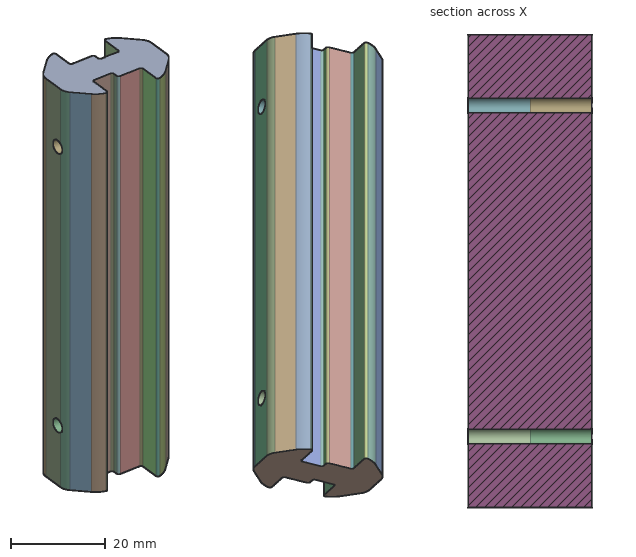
import cadquery as cq
import math

length = 100.0
depth = 26.3
half_depth = depth / 2

head_shift = 1.0
head_inner_y = 5.7
crown_half_width = 3.85
flank_run = 4.13
flank_end_half_width = crown_half_width + flank_run
flank_end_y = half_depth - flank_run
tip_radius = 6.0
flank_angle = math.radians(45)
tip_center_x = flank_end_half_width - tip_radius * math.cos(flank_angle)
tip_center_y = flank_end_y - tip_radius * math.sin(flank_angle)

web_half_width = 3.95
step_y = 0.45

crown_fillet = 3.0
small_fillet = 0.5

hole_diameter = 3.24
hole_x = 0.6
hole_end_distance = 15.0

tolerance = 0.01


def tip_point(angle):
    """Point of the tip round, measured from the head's own centre line, outward along Y."""
    return tip_center_x + tip_radius * math.cos(angle), tip_center_y + tip_radius * math.sin(angle)


def add_half_outline(outline, side):
    """Draw one head and its part of the web; side +1 is the -Y head, -1 the same turned by 180 degrees."""

    def place(x, y):
        return side * (x - head_shift), -side * y

    end_angle = math.asin((head_inner_y - tip_center_y) / tip_radius)
    mid_angle = (flank_angle + end_angle) / 2
    tip_x, tip_y = tip_point(end_angle)
    mid_x, mid_y = tip_point(mid_angle)

    return (
        outline
        .lineTo(*place(-web_half_width, head_inner_y))
        .lineTo(*place(-tip_x, tip_y))
        .threePointArc(place(-mid_x, mid_y), place(-flank_end_half_width, flank_end_y))
        .lineTo(*place(-crown_half_width, half_depth))
        .lineTo(*place(crown_half_width, half_depth))
        .lineTo(*place(flank_end_half_width, flank_end_y))
        .threePointArc(place(mid_x, mid_y), place(tip_x, tip_y))
        .lineTo(*place(web_half_width, head_inner_y))
        .lineTo(*place(web_half_width, step_y))
        .lineTo(*place(web_half_width + 2 * head_shift, step_y))
    )


def make_bar():
    """Extrude the profile along Z, centred on the origin."""
    start = (-web_half_width - head_shift, step_y)
    outline = cq.Workplane("XY").workplane(offset=-length / 2).moveTo(*start)
    outline = add_half_outline(outline, 1)
    outline = add_half_outline(outline, -1)
    return outline.close().extrude(length)


def edge_lies_at(edge, distance):
    return abs(abs(edge.Center().y) - distance) < tolerance


def is_crown_edge(edge):
    return edge_lies_at(edge, half_depth)


def is_small_edge(edge):
    return edge_lies_at(edge, head_inner_y) or edge_lies_at(edge, step_y)


def round_long_edges(bar):
    """Round the crown corners widely, and the tips, web roots and steps slightly."""
    bar = bar.edges("|Z").filter(is_crown_edge).fillet(crown_fillet)
    return bar.edges("|Z").filter(is_small_edge).fillet(small_fillet)


def drill_cross_holes(bar):
    """Drill one hole near each end, along Y through both heads and the web."""
    hole_z = length / 2 - hole_end_distance
    drills = (
        cq.Workplane("XZ")
        .pushPoints([(hole_x, -hole_z), (hole_x, hole_z)])
        .circle(hole_diameter / 2)
        .extrude(depth, both=True)
    )
    return bar.cut(drills)


result = drill_cross_holes(round_long_edges(make_bar()))